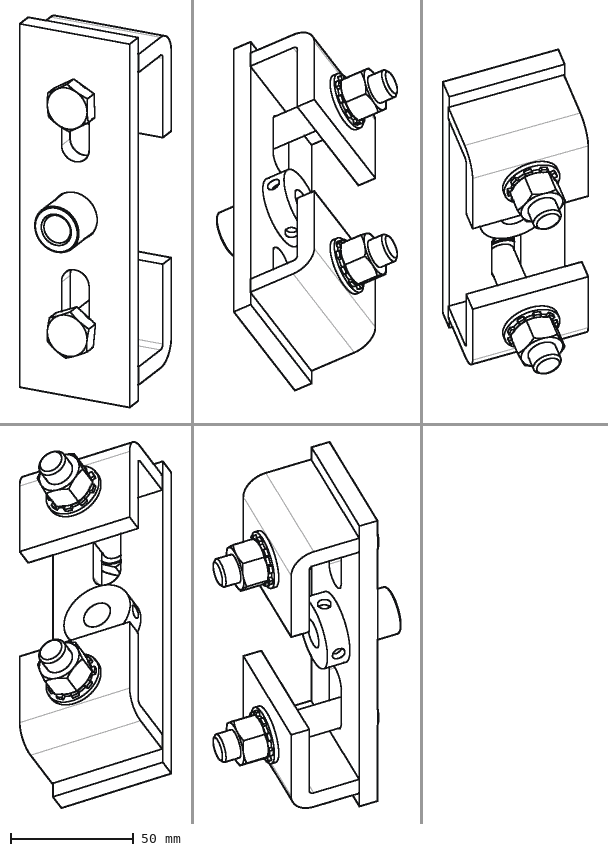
import cadquery as cq
import math

PLATE_WIDTH = 50.0
PLATE_HEIGHT = 160.0
PLATE_THICKNESS = 8.0

CLAMP_OFFSET = 0.3
CLAMP_WIDTH = PLATE_WIDTH
CLAMP_THICKNESS = 8.0
CLAMP_DEPTH = 30.0
CLAMP_BOTTOM = 27.8
CLAMP_HEIGHT = 45.0
CLAMP_OUTER_RADIUS = 10.0
CLAMP_INNER_RADIUS = CLAMP_OUTER_RADIUS - CLAMP_THICKNESS
CLAMP_BACK = PLATE_THICKNESS + CLAMP_DEPTH

BOLT_SPACING = 100.0
BOLT_Z = BOLT_SPACING / 2
SLOT_WIDTH = 12.5
SLOT_INNER_Z = 30.0

BOLT_DIAMETER = 12.0
BOLT_LENGTH = 60.0
BOLT_TIP_CHAMFER = 1.1
HEX_ACROSS_CORNERS = 20.8
HEX_CHAMFER_ANGLE = math.radians(30)
HEAD_HEIGHT = 7.5
HEAD_WASHER_FACE_DIAMETER = 16.6
HEAD_WASHER_FACE_HEIGHT = 0.6

WASHER_DIAMETER = 24.0
WASHER_THICKNESS = 2.0
LOCK_WASHER_DIAMETER = 21.5
LOCK_WASHER_ROOT_DIAMETER = 18.2
LOCK_WASHER_THICKNESS = 1.5
TOOTH_COUNT = 9
TOOTH_WIDTH = 3.0
NUT_HEIGHT = 10.9

SLEEVE_DIAMETER = 20.0
SLEEVE_PROJECTION = 17.0
SLEEVE_BORE = 12.0
SLEEVE_EDGE_CHAMFER = 0.5
BORE_CHAMFER = 0.8
SLEEVE_HOLE_DIAMETER = 20.5
COLLAR_DIAMETER = 30.0
COLLAR_LENGTH = 10.0
PIN_HOLE_DIAMETER = 5.5
PIN_HOLE_DEPTH = 3.2
PIN_HOLE_COUNT = 4
PIN_HOLE_POINT_ANGLE = math.radians(118)


def rod(diameter, start_y, length):
    """Cylinder about the Y axis, from start_y towards +Y."""
    return cq.Workplane("XZ", origin=(0, start_y, 0)).circle(diameter / 2).extrude(-length)


def hexagon(start_y, height, corner_angle, chamfer_start, chamfer_end):
    """Hexagonal prism along Y whose chosen ends are turned down to the flats."""
    corner_radius = HEX_ACROSS_CORNERS / 2
    flat_radius = corner_radius * math.cos(math.pi / 6)
    drop = (corner_radius - flat_radius) * math.tan(HEX_CHAMFER_ANGLE)
    end_y = start_y + height
    prism = (
        cq.Workplane("XZ", origin=(0, start_y, 0))
        .polygon(6, 2 * corner_radius)
        .extrude(-height)
        .rotate((0, 0, 0), (0, -1, 0), corner_angle)
    )
    envelope = cq.Workplane("XY").moveTo(0, start_y)
    if chamfer_start:
        envelope = envelope.lineTo(flat_radius, start_y).lineTo(corner_radius, start_y + drop)
    else:
        envelope = envelope.lineTo(corner_radius, start_y)
    if chamfer_end:
        envelope = envelope.lineTo(corner_radius, end_y - drop).lineTo(flat_radius, end_y)
    else:
        envelope = envelope.lineTo(corner_radius, end_y)
    envelope = envelope.lineTo(0, end_y).close().revolve(360, (0, 0, 0), (0, 1, 0))
    return prism.intersect(envelope)


def lock_washer(start_y, tooth_angle):
    """Disc with evenly spaced external teeth."""
    teeth = rod(LOCK_WASHER_ROOT_DIAMETER, start_y, LOCK_WASHER_THICKNESS)
    tooth = (
        cq.Workplane("XZ", origin=(0, start_y, 0))
        .rect(LOCK_WASHER_DIAMETER / 2, TOOTH_WIDTH, centered=(False, True))
        .extrude(-LOCK_WASHER_THICKNESS)
    )
    for i in range(TOOTH_COUNT):
        angle = tooth_angle + i * 360 / TOOTH_COUNT
        teeth = teeth.union(tooth.rotate((0, 0, 0), (0, -1, 0), angle))
    return teeth.intersect(rod(LOCK_WASHER_DIAMETER, start_y, LOCK_WASHER_THICKNESS))


def bolt_assembly(head_angle, tooth_angle, nut_angle):
    """Bolt, washers and nut about the Y axis; angles turn each part about that axis."""
    shank = rod(BOLT_DIAMETER, 0, BOLT_LENGTH).faces(">Y").chamfer(BOLT_TIP_CHAMFER)
    washer_face = rod(HEAD_WASHER_FACE_DIAMETER, -HEAD_WASHER_FACE_HEIGHT, HEAD_WASHER_FACE_HEIGHT)
    hex_height = HEAD_HEIGHT - HEAD_WASHER_FACE_HEIGHT
    head = hexagon(-HEAD_HEIGHT, hex_height, head_angle, True, False)
    washer = rod(WASHER_DIAMETER, CLAMP_BACK, WASHER_THICKNESS)
    lock_washer_y = CLAMP_BACK + WASHER_THICKNESS
    toothed = lock_washer(lock_washer_y, tooth_angle)
    nut = hexagon(lock_washer_y + LOCK_WASHER_THICKNESS, NUT_HEIGHT, nut_angle, True, True)
    return shank.union(washer_face).union(head).union(washer).union(toothed).union(nut)


def slotted_plate():
    plate = cq.Workplane("XY").box(
        PLATE_WIDTH, PLATE_THICKNESS, PLATE_HEIGHT, centered=(True, False, True)
    )
    slot_length = BOLT_Z - SLOT_INNER_Z + SLOT_WIDTH
    slot_z = (BOLT_Z + SLOT_INNER_Z) / 2
    slots = (
        cq.Workplane("XZ")
        .pushPoints([(CLAMP_OFFSET, slot_z), (CLAMP_OFFSET, -slot_z)])
        .slot2D(slot_length, SLOT_WIDTH, 90)
        .extrude(-PLATE_THICKNESS)
    )
    sleeve_hole = rod(SLEEVE_HOLE_DIAMETER, 0, PLATE_THICKNESS)
    return plate.cut(slots).cut(sleeve_hole)


def clamp():
    """Upper L-shaped bracket: a foot on the plate, bent down into a leg."""
    top = CLAMP_BOTTOM + CLAMP_HEIGHT
    inner_top = top - CLAMP_THICKNESS
    inner_back = CLAMP_BACK - CLAMP_THICKNESS
    outline = (
        cq.Workplane("YZ", origin=(CLAMP_OFFSET - CLAMP_WIDTH / 2, 0, 0))
        .moveTo(PLATE_THICKNESS, top)
        .lineTo(CLAMP_BACK - CLAMP_OUTER_RADIUS, top)
        .radiusArc((CLAMP_BACK, top - CLAMP_OUTER_RADIUS), CLAMP_OUTER_RADIUS)
        .lineTo(CLAMP_BACK, CLAMP_BOTTOM)
        .lineTo(inner_back, CLAMP_BOTTOM)
        .lineTo(inner_back, inner_top - CLAMP_INNER_RADIUS)
        .radiusArc((inner_back - CLAMP_INNER_RADIUS, inner_top), -CLAMP_INNER_RADIUS)
        .lineTo(PLATE_THICKNESS, inner_top)
        .close()
    )
    return outline.extrude(CLAMP_WIDTH)


def pin_hole():
    """Blind drilled hole entering the collar from +Z, with a conical bottom."""
    radius = PIN_HOLE_DIAMETER / 2
    floor_z = COLLAR_DIAMETER / 2 - PIN_HOLE_DEPTH
    tip_z = floor_z - radius / math.tan(PIN_HOLE_POINT_ANGLE / 2)
    drill = (
        cq.Workplane("XZ")
        .moveTo(0, tip_z)
        .lineTo(radius, floor_z)
        .lineTo(radius, COLLAR_DIAMETER / 2)
        .lineTo(0, COLLAR_DIAMETER / 2)
        .close()
        .revolve(360, (0, 0, 0), (0, 1, 0))
    )
    return drill.translate((0, PLATE_THICKNESS + COLLAR_LENGTH / 2, 0))


def sleeve():
    length = SLEEVE_PROJECTION + PLATE_THICKNESS
    tube = rod(SLEEVE_DIAMETER, -SLEEVE_PROJECTION, length).faces("<Y").chamfer(SLEEVE_EDGE_CHAMFER)
    collar = rod(COLLAR_DIAMETER, PLATE_THICKNESS, COLLAR_LENGTH)
    hole = pin_hole()
    for i in range(PIN_HOLE_COUNT):
        collar = collar.cut(hole.rotate((0, 0, 0), (0, 1, 0), i * 360 / PIN_HOLE_COUNT))
    return tube.union(collar)


def sleeve_bore():
    """Through bore, widened by a chamfer at its front mouth."""
    bore = rod(SLEEVE_BORE, -SLEEVE_PROJECTION, SLEEVE_PROJECTION + PLATE_THICKNESS + COLLAR_LENGTH)
    mouth = cq.Workplane(
        cq.Solid.makeCone(
            SLEEVE_BORE / 2 + BORE_CHAMFER,
            SLEEVE_BORE / 2,
            BORE_CHAMFER,
            pnt=cq.Vector(0, -SLEEVE_PROJECTION, 0),
            dir=cq.Vector(0, 1, 0),
        )
    )
    return bore.union(mouth)


upper_clamp = clamp()
lower_clamp = upper_clamp.mirror("XY")
upper_bolt = bolt_assembly(head_angle=32.2, tooth_angle=159, nut_angle=7.5)
lower_bolt = bolt_assembly(head_angle=24.5, tooth_angle=181, nut_angle=12)

result = (
    slotted_plate()
    .union(upper_clamp)
    .union(lower_clamp)
    .union(upper_bolt.translate((CLAMP_OFFSET, 0, BOLT_Z)))
    .union(lower_bolt.translate((CLAMP_OFFSET, 0, -BOLT_Z)))
    .union(sleeve())
    .cut(sleeve_bore())
)